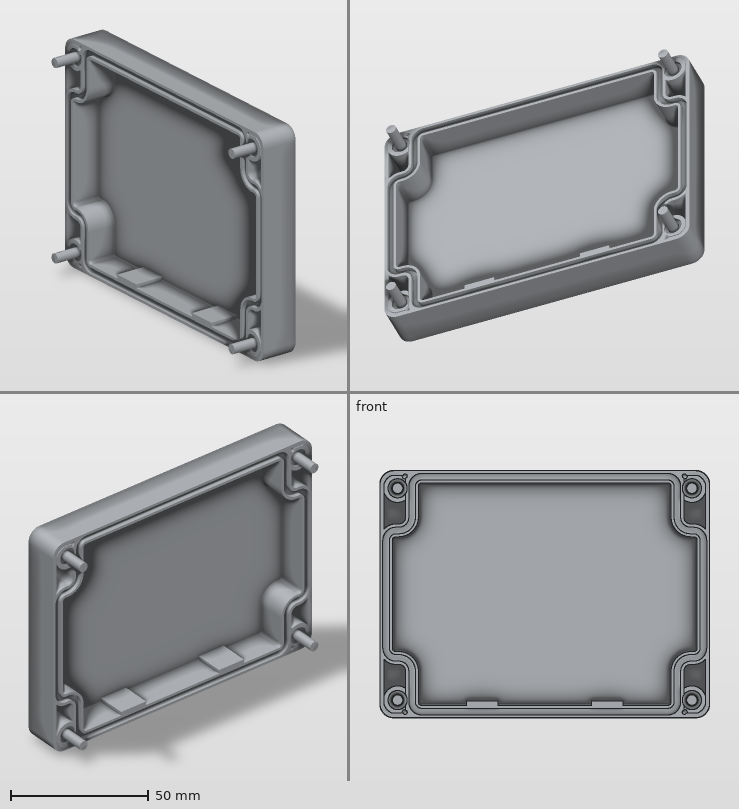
import cadquery as cq
import math

length = 120.0
height = 90.0
lid_depth = 15.0
corner_radius = 5.2
back_edge_radius = 0.8

floor_depth = 11.9
floor_fillet = 0.6
cavity_half_length = 55.5
cavity_half_height = 40.5
neck_half_length = 46.0
shoulder_half_height = 20.9
neck_corner_radius = 1.2
shoulder_corner_radius = 1.3
post_radius = 7.1

inner_lip = 1.1
groove_width = 2.4
groove_depth = 3.0
gasket_drop = 2.0

pocket_rib = 1.2
pocket_outer_x = 58.5
pocket_depth = floor_depth
pocket_inner_x = neck_half_length + inner_lip + groove_width + pocket_rib
boss_radius = 5.2
boss_top = 43.2
boss_proud = 0.4
boss_pad_root = 0.2
recess_radius = 3.5
recess_depth = 0.7
screw_x = 53.5
screw_z = 38.5

screw_radius = 1.9
screw_hole_radius = 2.2
screw_reach = 9.6
screw_embed = 9.6

dimple_x = 50.8
dimple_z = 43.0
dimple_radius = 1.1
dimple_depth = 1.2

pad_width = 11.5
pad_thickness = 1.5
pad_centers = (-22.7, 22.7)

CORNERS = [(sx, sz) for sx in (-1, 1) for sz in (-1, 1)]


def facing_back(y):
    """Workplane at depth y: local axes are X and -Z, extrusions go toward +Y."""
    return cq.Workplane(cq.Plane(origin=(0, y, 0), xDir=(1, 0, 0), normal=(0, 1, 0)))


def cylinder(x, z, radius, y_start, y_end):
    return facing_back(y_start).center(x, -z).circle(radius).extrude(y_end - y_start)


def box(x_start, x_end, y_start, y_end, z_start, z_end):
    size = (x_end - x_start, y_end - y_start, z_end - z_start)
    return cq.Workplane("XY").box(*size, centered=False).translate((x_start, y_start, z_start))


def corner_arcs(offset):
    """Arcs (start, middle, end) of one quadrant of the cavity outline grown by offset."""
    side = cavity_half_length + offset
    top = cavity_half_height + offset
    neck = neck_half_length + offset
    shoulder = shoulder_half_height + offset
    shoulder_r = shoulder_corner_radius + offset
    post_r = post_radius - offset
    neck_r = neck_corner_radius + offset

    def arc(center_x, center_z, radius, start, sweep):
        angles = [math.radians(start + sweep * part) for part in (0, 0.5, 1)]
        return [(center_x + radius * math.cos(a), center_z + radius * math.sin(a)) for a in angles]

    return [
        arc(side - shoulder_r, shoulder - shoulder_r, shoulder_r, 0, 90),
        arc(neck + post_r, shoulder + post_r, post_r, 270, -90),
        arc(neck - neck_r, top - neck_r, neck_r, 0, 90),
    ]


def cavity_prism(offset, y_start, y_end):
    """Solid with the cavity outline grown by offset, mirrored from one quadrant."""
    quadrant = corner_arcs(offset)
    arcs = []
    for sx, sz in ((1, 1), (-1, 1), (-1, -1), (1, -1)):
        mirrored = [[(sx * x, sz * z) for x, z in arc] for arc in quadrant]
        if sx * sz < 0:
            mirrored = [arc[::-1] for arc in mirrored[::-1]]
        arcs += mirrored
    outline = facing_back(y_start).moveTo(*arcs[0][0])
    for index, (start, middle, end) in enumerate(arcs):
        if index > 0:
            outline = outline.lineTo(*start)
        outline = outline.threePointArc(middle, end)
    return outline.close().extrude(y_end - y_start)


def make_shell():
    shell = facing_back(0).rect(length, height).extrude(lid_depth)
    shell = shell.edges("|Y").fillet(corner_radius)
    return shell.faces(">Y").edges().fillet(back_edge_radius)


def make_cavity():
    cavity = cavity_prism(0, 0, floor_depth)
    return cavity.faces(">Y").edges().fillet(floor_fillet)


def make_pocket(sx, sz):
    """Corner pocket between the outer wall, the rib around the groove and the screw boss."""
    x_limits = sorted((sx * pocket_outer_x, sx * neck_half_length))
    z_limits = sorted((0, sz * screw_z))
    pocket = box(*x_limits, 0, pocket_depth, *z_limits)
    pocket = pocket.cut(cavity_prism(inner_lip + groove_width + pocket_rib, 0, pocket_depth))
    return pocket.cut(cylinder(sx * screw_x, sz * screw_z, boss_radius, 0, pocket_depth))


def make_boss_pad(sx, sz):
    """End of the screw boss that stands proud of the rim, cut flat in line with the pocket walls."""
    boss_pad = cylinder(sx * screw_x, sz * screw_z, boss_radius, -boss_proud, boss_pad_root)
    x_limits = sorted((sx * pocket_inner_x, sx * pocket_outer_x))
    return boss_pad.intersect(box(*x_limits, -boss_proud, boss_pad_root, -boss_top, boss_top))


def make_dimple(sx, sz):
    mouth = cq.Vector(sx * dimple_x, -boss_proud, sz * dimple_z)
    cone = cq.Solid.makeCone(dimple_radius, 0, dimple_depth, mouth, cq.Vector(0, 1, 0))
    return cq.Workplane(cone)


def groove_ring(y_start):
    """Ring the width of the groove, from y_start down to the groove bottom."""
    outer = cavity_prism(inner_lip + groove_width, y_start, groove_depth)
    return outer.cut(cavity_prism(inner_lip, y_start, groove_depth))


def make_wall_pad(center):
    """Pad on the lower cavity wall, reaching from the rim plane to the floor."""
    left = center - pad_width / 2
    bottom = -cavity_half_height
    return box(left, left + pad_width, 0, floor_depth, bottom, bottom + pad_thickness)


def make_lid():
    lid = make_shell().cut(make_cavity()).cut(groove_ring(0))
    for sx, sz in CORNERS:
        x = sx * screw_x
        z = sz * screw_z
        lid = lid.cut(make_pocket(sx, sz)).union(make_boss_pad(sx, sz))
        lid = lid.cut(cylinder(x, z, recess_radius, -boss_proud, recess_depth))
        lid = lid.cut(cylinder(x, z, screw_hole_radius, 0, screw_embed))
        lid = lid.cut(make_dimple(sx, sz))
    for center in pad_centers:
        lid = lid.union(make_wall_pad(center))
    return lid


def make_gasket():
    """Gasket filling the bottom of the groove."""
    return groove_ring(gasket_drop)


def make_screw(sx, sz):
    return cylinder(sx * screw_x, sz * screw_z, screw_radius, -screw_reach, screw_embed)


lid = make_lid()
gasket = make_gasket()
screws = [make_screw(sx, sz) for sx, sz in CORNERS]

result = cq.Compound.makeCompound([lid.val(), gasket.val(), *[screw.val() for screw in screws]])